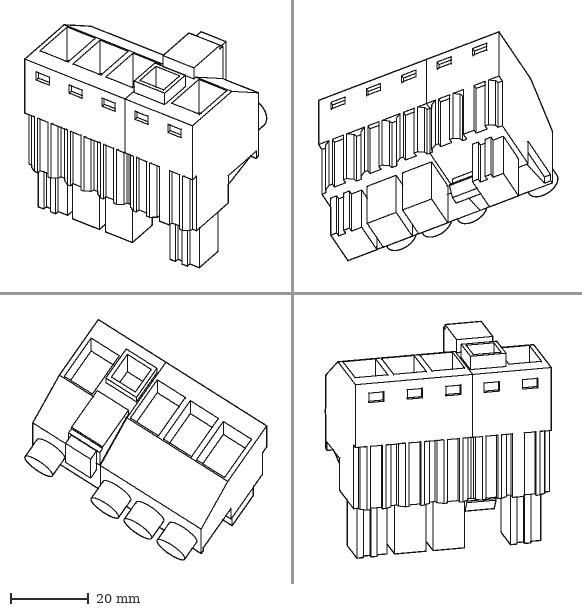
import cadquery as cq

total_width = 51.9
pole_count = 5
pole_pitch = 10.2
seam_x = 31.1
latch_pole = 3
terminal_poles = [pole for pole in range(pole_count) if pole != latch_pole]
left_poles = [0, 1, 2]
right_poles = [3, 4]
first_pole_x = (total_width - (pole_count - 1) * pole_pitch) / 2

housing_height = 34.5
back_y = 30.4
slope_top_y = 18.05
slope_foot_z = 26.55
lower_back_y = 16.55
recess_top_z = 8.7
lip_thickness = 1.05
lip_bottom_z = 6.6
wedge_bottom_z = 2.8
wedge_end_inset = 1.8

flute_height = 17.3
flute_depth = 1.9
rib_foot_half = 4.35
rib_shoulder_half = 4.1
rib_shoulder_depth = 1.0
rib_face_half = 2.5
rib_slot_half = 1.6
rib_slot_depth = 1.15
key_half = 4.65
coded_rib_pole = 4

plug_width = 8.35
keyed_plug_front_y = 4.1
plain_plug_front_y = 4.7
plug_back_y = 13.9
plug_length = 14.4
keyed_plug_poles = [0, 4]
key_depth = 1.15
key_first_strip = 1.75
key_groove_width = 2.0
key_second_strip = 1.7

pocket_width = 8.65
pocket_front_y = 5.2
pocket_back_y = 17.65
pocket_depth = 10.5
window_width = 4.05
window_height = 2.55
window_bottom_z = 29.3
window_depth = 1.0

tube_side = 9.45
tube_wall = 1.05
tube_height = 3.6
tube_center_y = 8.4

hook_width = 7.75
hook_back_y = 14.5
hook_arm_y = 12.4
hook_tooth_y = 10.65
hook_ledge_z = -3.9
hook_tooth_z = -4.3
hook_tip_z = -7.25

latch_left_gap = 0.15
latch_width = 9.6
latch_front_y = 17.1
latch_top_z = 38.0
latch_step_y = 29.05
latch_step_z = 36.8
latch_tab_back_y = 33.1
latch_tab_top_z = 36.4
latch_tab_bottom_z = 21.0

screw_radius = 4.3
screw_length = 5.6
screw_center_z = 14.55


def pole_x(pole):
    return first_pole_x + pole * pole_pitch


def box(x0, x1, y0, y1, z0, z1):
    return cq.Workplane("XY").box(x1 - x0, y1 - y0, z1 - z0, centered=False).translate((x0, y0, z0))


def side_prism(points, x0, x1):
    """Extrude a (y, z) outline from x0 to x1."""
    return cq.Workplane("YZ").polyline(points).close().extrude(x1 - x0).translate((x0, 0, 0))


def housing_block(x0, x1):
    """Plain housing body with an underside wedge set in from the outer ends."""
    lip_inner_y = back_y - lip_thickness
    fall = (lip_bottom_z - wedge_bottom_z) / (back_y - lower_back_y)
    lip_inner_z = lip_bottom_z - fall * lip_thickness
    outline = [
        (0, 0),
        (0, housing_height),
        (slope_top_y, housing_height),
        (back_y, slope_foot_z),
        (back_y, lip_bottom_z),
        (lip_inner_y, lip_inner_z),
        (lip_inner_y, recess_top_z),
        (lower_back_y, recess_top_z),
        (lower_back_y, 0),
    ]
    wedge_outline = [
        (lower_back_y, recess_top_z),
        (lip_inner_y, recess_top_z),
        (lip_inner_y, lip_inner_z),
        (lower_back_y, wedge_bottom_z),
    ]
    wedge_x0 = max(x0, wedge_end_inset)
    wedge_x1 = min(x1, total_width - wedge_end_inset)
    return side_prism(outline, x0, x1).union(side_prism(wedge_outline, wedge_x0, wedge_x1))


def front_rib(pole):
    """Slotted rib with bevelled flanks, standing in the recessed lower front."""
    right_half = [
        (rib_slot_half, rib_slot_depth),
        (rib_slot_half, 0),
        (rib_face_half, 0),
        (rib_shoulder_half, rib_shoulder_depth),
        (rib_foot_half, flute_depth),
    ]
    if pole == coded_rib_pole:
        left_half = [
            (-key_half, flute_depth),
            (-key_half, 0),
            (-rib_slot_half, 0),
            (-rib_slot_half, rib_slot_depth),
        ]
    else:
        left_half = [(-x, y) for x, y in reversed(right_half)]
    outline = left_half + right_half
    return cq.Workplane("XY").polyline(outline).close().extrude(flute_height).translate((pole_x(pole), 0, 0))


def plain_plug(pole, front_y):
    x0 = pole_x(pole) - plug_width / 2
    return box(x0, x0 + plug_width, front_y, plug_back_y, -plug_length, 0)


def keyed_plug(pole):
    """Plug with a coding groove and a step down the front."""
    x0 = pole_x(pole) - plug_width / 2
    groove_x0 = x0 + key_first_strip
    groove_x1 = groove_x0 + key_groove_width
    step_x = groove_x1 + key_second_strip
    key_back_y = keyed_plug_front_y + key_depth
    body = plain_plug(pole, keyed_plug_front_y)
    body = body.cut(box(groove_x0, groove_x1, keyed_plug_front_y, key_back_y, -plug_length, 0))
    return body.cut(box(step_x, x0 + plug_width, keyed_plug_front_y, key_back_y, -plug_length, 0))


def plug(pole):
    if pole in keyed_plug_poles:
        return keyed_plug(pole)
    return plain_plug(pole, plain_plug_front_y)


def wire_pocket(pole):
    x0 = pole_x(pole) - pocket_width / 2
    floor_z = housing_height - pocket_depth
    return box(x0, x0 + pocket_width, pocket_front_y, pocket_back_y, floor_z, housing_height)


def front_window(pole):
    x0 = pole_x(pole) - window_width / 2
    return box(x0, x0 + window_width, 0, window_depth, window_bottom_z, window_bottom_z + window_height)


def square_prism(side, z0, z1):
    """Square column around the tube axis."""
    x0 = pole_x(latch_pole) - side / 2
    y0 = tube_center_y - side / 2
    return box(x0, x0 + side, y0, y0 + side, z0, z1)


def add_tube(body):
    """Add the square tube and its blind hole, which ends level with the wire pockets."""
    top_z = housing_height + tube_height
    body = body.union(square_prism(tube_side, housing_height, top_z))
    return body.cut(square_prism(tube_side - 2 * tube_wall, housing_height - pocket_depth, top_z))


def hook():
    """Arm with a forward tooth that tapers to its tip."""
    outline = [
        (hook_back_y, 0),
        (hook_arm_y, 0),
        (hook_arm_y, hook_ledge_z),
        (hook_tooth_y, hook_ledge_z),
        (hook_tooth_y, hook_tooth_z),
        (hook_arm_y, hook_tip_z),
        (hook_back_y, hook_tip_z),
    ]
    x0 = pole_x(latch_pole) - hook_width / 2
    return side_prism(outline, x0, x0 + hook_width)


def make_housing(x0, x1, poles):
    """One housing from x0 to x1 with the features of its poles."""
    body = housing_block(x0, x1)
    body = body.cut(box(x0, x1, 0, flute_depth, 0, flute_height))
    for pole in poles:
        body = body.union(front_rib(pole))
        body = body.cut(front_window(pole))
        if pole in terminal_poles:
            body = body.union(plug(pole))
            body = body.cut(wire_pocket(pole))
        else:
            body = body.union(hook())
            body = add_tube(body)
    return body


def make_latch():
    """Block resting on the housing's top and slope, with a tab down its back wall."""
    block_outline = [
        (latch_front_y, housing_height),
        (latch_front_y, latch_top_z),
        (latch_step_y, latch_top_z),
        (latch_step_y, latch_step_z),
        (back_y, latch_step_z),
        (back_y, slope_foot_z),
        (slope_top_y, housing_height),
    ]
    block_x0 = seam_x + latch_left_gap
    block = side_prism(block_outline, block_x0, block_x0 + latch_width)
    tab_x0 = pole_x(latch_pole) - hook_width / 2
    tab = box(tab_x0, tab_x0 + hook_width, back_y, latch_tab_back_y, latch_tab_bottom_z, latch_tab_top_z)
    return block.union(tab)


def make_screw(pole):
    """Round head standing off the back wall of its housing."""
    profile = cq.Workplane("XZ").circle(screw_radius).extrude(-screw_length)
    return profile.translate((pole_x(pole), back_y, screw_center_z))


left_housing = make_housing(0, seam_x, left_poles)
right_housing = make_housing(seam_x, total_width, right_poles)
latch = make_latch()
screws = [make_screw(pole).val() for pole in terminal_poles]

result = cq.Compound.makeCompound([left_housing.val(), right_housing.val(), latch.val(), *screws])